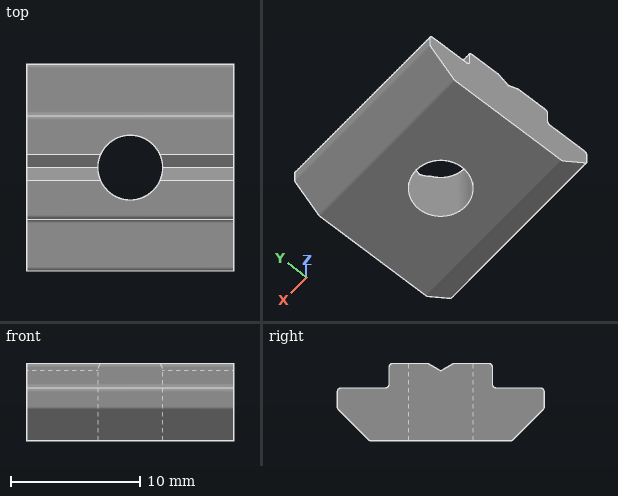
import cadquery as cq

length = 16.0
width = 16.0
height = 6.0

neck_width = 8.0
neck_height = 1.9
flange_top = height - neck_height
bevel_top = 2.5
base_width = width - 2 * bevel_top
groove_width = 2.0
groove_depth = 0.58

edge_radius = 0.3

hole_diameter = 5.0

half_outline = [
    (0, height - groove_depth),
    (groove_width / 2, height),
    (neck_width / 2, height),
    (neck_width / 2, flange_top),
    (width / 2, flange_top),
    (width / 2, bevel_top),
    (base_width / 2, 0),
]
mirrored_half = [(-y, z) for y, z in reversed(half_outline[1:])]

body = (
    cq.Workplane("YZ")
    .polyline(half_outline + mirrored_half)
    .close()
    .extrude(length / 2, both=True)
)


def edges_at(y, z):
    """Select the pair of lengthwise edges at (+y, z) and (-y, z)."""
    margin = 0.02
    selection = None
    for side in (-y, y):
        box = cq.selectors.BoxSelector(
            (-margin, side - margin, z - margin),
            (margin, side + margin, z + margin),
        )
        selection = box if selection is None else selection + box
    return selection


for corner_y, corner_z in half_outline[2:]:
    body = body.edges(edges_at(corner_y, corner_z)).fillet(edge_radius)

hole = cq.Workplane("XY").circle(hole_diameter / 2).extrude(height)
result = body.cut(hole)